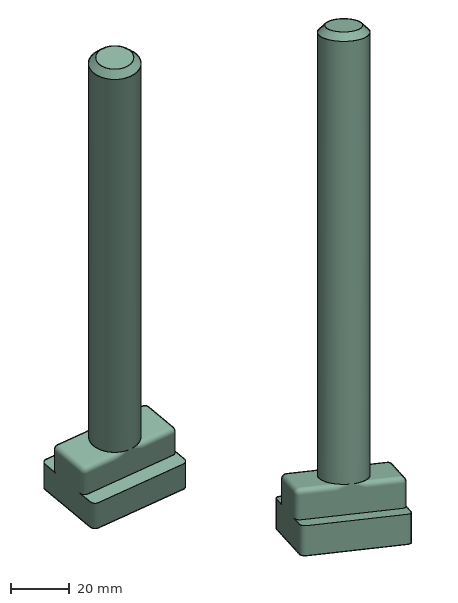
import cadquery as cq
import math


foot_width = 30.0
foot_length = 40.0
foot_height = 11.0

total_height = 186.0
shank_diameter = 18.0
shank_radius = shank_diameter / 2
tip_chamfer = 2.5

neck_width = shank_diameter
neck_height = 11.0
neck_top = foot_height + neck_height
side_x = neck_width / 2

edge_radius = 2.0

cut_tolerance = 1e-4

rounding_x = side_x - edge_radius
rounding_z = neck_top - edge_radius
rounding_end_y = math.sqrt(shank_radius**2 - rounding_x**2)


def rounded_block(width, height, base_z):
    """Block of the foot length with rounded vertical corners."""
    block = cq.Workplane("XY", origin=(0, 0, base_z))
    block = block.box(width, foot_length, height, centered=(True, True, False))
    return block.edges("|Z").fillet(edge_radius)


def make_runout():
    """Volume removed where the top rounding fades to nothing at the shank's tangent point (+X, +Y)."""
    tangent_point = cq.Vector(side_x, 0, neck_top)
    inner = cq.Vector(rounding_x, rounding_end_y, neck_top)
    lower = cq.Vector(side_x, rounding_end_y, rounding_z)
    corner = cq.Vector(side_x, rounding_end_y, neck_top)

    mid_angle = math.atan2(rounding_end_y, rounding_x) / 2
    shank_mid = cq.Vector(shank_radius * math.cos(mid_angle), shank_radius * math.sin(mid_angle), neck_top)
    profile_offset = edge_radius * math.cos(math.pi / 4)
    profile_mid = cq.Vector(rounding_x + profile_offset, rounding_end_y, rounding_z + profile_offset)

    shank_arc = cq.Edge.makeThreePointArc(tangent_point, shank_mid, inner)
    profile_arc = cq.Edge.makeThreePointArc(inner, profile_mid, lower)
    wall_line = cq.Edge.makeLine(lower, tangent_point)
    top_side = cq.Edge.makeLine(corner, tangent_point)
    top_end = cq.Edge.makeLine(inner, corner)
    end_side = cq.Edge.makeLine(lower, corner)

    blend_face = cq.Face.makeNSidedSurface([shank_arc, profile_arc, wall_line], [])
    top_face = cq.Face.makeFromWires(cq.Wire.assembleEdges([shank_arc, top_end, top_side]))
    end_face = cq.Face.makeFromWires(cq.Wire.assembleEdges([profile_arc, end_side, top_end]))
    side_face = cq.Face.makeFromWires(cq.Wire.assembleEdges([wall_line, top_side, end_side]))
    shell = cq.Shell.makeShell([blend_face, top_face, end_face, side_face])
    return cq.Workplane(cq.Solid.makeSolid(shell).fix())


def make_neck():
    """Neck with rounded top edges, left square beside the shank except for the four run-outs."""
    neck = rounded_block(neck_width, neck_height, foot_height).faces(">Z").edges().fillet(edge_radius)

    beside_shank = cq.Workplane("XY", origin=(0, 0, foot_height))
    beside_shank = beside_shank.box(neck_width, 2 * rounding_end_y, neck_height, centered=(True, True, False))
    neck = neck.union(beside_shank)

    right_runout = make_runout()
    left_runout = right_runout.mirror("YZ")
    for runout in (right_runout, right_runout.mirror("XZ"), left_runout, left_runout.mirror("XZ")):
        neck = neck.cut(runout, tol=cut_tolerance)
    return neck


def make_shank():
    """Round shank with a chamfered tip."""
    shank = cq.Workplane("XY", origin=(0, 0, neck_top)).circle(shank_radius).extrude(total_height - neck_top)
    return shank.faces(">Z").chamfer(tip_chamfer)


foot = rounded_block(foot_width, foot_height, 0)
result = foot.union(make_neck()).union(make_shank())